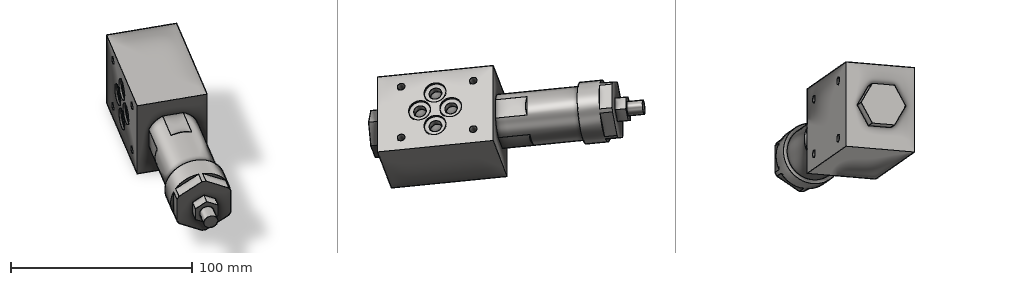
import cadquery as cq
import math


BLOCK_LENGTH = 65.0
BLOCK_DEPTH = 40.0
BLOCK_HEIGHT = 48.0
BLOCK_OFFSET_Y = -0.45
PORT_FACE_Y = BLOCK_OFFSET_Y - BLOCK_DEPTH / 2

BOLT_HOLE_DIAMETER = 4.2
RIGHT_BOLT_X = BLOCK_LENGTH - 11.2
BOLT_SPACING_X = 40.5
RIGHT_BOLT_SPACING_Z = 31.0
LEFT_BOLT_SPACING_Z = 32.5

PORT_DIAMETER = 7.0
PORT_DEPTH = 5.3
SEAL_DIAMETER = 12.2
SEAL_DEPTH = 1.3
NEAR_PORT_X = RIGHT_BOLT_X - 12.7
MIDDLE_PORT_X = RIGHT_BOLT_X - 21.5
FAR_PORT_X = RIGHT_BOLT_X - 30.2
MIDDLE_PORT_Z = 10.4
PORT_CENTRES = [
    (NEAR_PORT_X, 0),
    (FAR_PORT_X, 0),
    (MIDDLE_PORT_X, MIDDLE_PORT_Z),
    (MIDDLE_PORT_X, -MIDDLE_PORT_Z),
]

PLUG_LENGTH = 6.5
PLUG_ACROSS_FLATS = 22.6

BODY_DIAMETER = 30.0
BODY_LENGTH = 46.5
NECK_ACROSS_FLATS = 27.6
NECK_LENGTH = 16.8
NECK_CHAMFER_LENGTH = 1.0
COLLAR_DIAMETER = 34.3
COLLAR_LENGTH = 12.3
CAP_ACROSS_FLATS = 30.8
CAP_LENGTH = 7.0
NUT_ACROSS_FLATS = 13.0
NUT_LENGTH = 6.0
PIN_DIAMETER = 8.0
PIN_LENGTH = 8.7

COLLAR_X = BLOCK_LENGTH + BODY_LENGTH
CAP_X = COLLAR_X + COLLAR_LENGTH
NUT_X = CAP_X + CAP_LENGTH
PIN_X = NUT_X + NUT_LENGTH


def cross_section(x):
    """Plane across the cartridge axis: local x is +Y, local y is +Z, normal is +X."""
    return cq.Workplane("YZ", origin=(x, 0, 0))


def round_bar(x, length, diameter):
    return cross_section(x).circle(diameter / 2).extrude(length)


def hex_bar(x, length, across_flats, corner_up):
    """Hexagonal bar along X with corners on the Z axis, or else on the Y axis."""
    across_corners = across_flats / math.cos(math.pi / 6)
    section = cross_section(x)
    if corner_up:
        section = section.transformed(rotate=(0, 0, 90))
    return section.polygon(6, across_corners).extrude(length)


def port_face_holes(centres, diameter, depth):
    """Cutters entering the port face and running towards +Y."""
    port_face = cq.Workplane("XZ", origin=(0, PORT_FACE_Y, 0))
    return port_face.pushPoints(centres).circle(diameter / 2).extrude(-depth)


def bolt_holes():
    left_bolt_x = RIGHT_BOLT_X - BOLT_SPACING_X
    centres = []
    for side in (1, -1):
        centres.append((RIGHT_BOLT_X, side * RIGHT_BOLT_SPACING_Z / 2))
        centres.append((left_bolt_x, side * LEFT_BOLT_SPACING_Z / 2))
    return port_face_holes(centres, BOLT_HOLE_DIAMETER, BLOCK_DEPTH)


def valve_block():
    block = cq.Workplane("XY").box(BLOCK_LENGTH, BLOCK_DEPTH, BLOCK_HEIGHT)
    block = block.translate((BLOCK_LENGTH / 2, BLOCK_OFFSET_Y, 0))
    block = block.cut(bolt_holes())
    block = block.cut(port_face_holes(PORT_CENTRES, SEAL_DIAMETER, SEAL_DEPTH))
    return block.cut(port_face_holes(PORT_CENTRES, PORT_DIAMETER, PORT_DEPTH))


def cartridge_body():
    """Round body whose neck has four flats, ending at a conical step."""
    step_start = BLOCK_LENGTH + NECK_LENGTH
    step_end = step_start + NECK_CHAMFER_LENGTH
    neck_and_step_length = NECK_LENGTH + NECK_CHAMFER_LENGTH
    neck = cross_section(BLOCK_LENGTH).rect(NECK_ACROSS_FLATS, NECK_ACROSS_FLATS)
    neck = neck.extrude(neck_and_step_length)
    neck = neck.intersect(round_bar(BLOCK_LENGTH, neck_and_step_length, BODY_DIAMETER))
    full_body_profile = (
        cq.Workplane("XY")
        .moveTo(step_start, 0)
        .lineTo(step_start, NECK_ACROSS_FLATS / 2)
        .lineTo(step_end, BODY_DIAMETER / 2)
        .lineTo(COLLAR_X, BODY_DIAMETER / 2)
        .lineTo(COLLAR_X, 0)
        .close()
    )
    full_body = full_body_profile.revolve(360, (0, 0, 0), (1, 0, 0))
    return neck.union(full_body)


def adjuster():
    """Collar, hexagonal cap rounded to the collar diameter, lock nut and pin."""
    collar = round_bar(COLLAR_X, COLLAR_LENGTH, COLLAR_DIAMETER)
    cap = hex_bar(CAP_X, CAP_LENGTH, CAP_ACROSS_FLATS, corner_up=True)
    cap = cap.intersect(round_bar(CAP_X, CAP_LENGTH, COLLAR_DIAMETER))
    nut = hex_bar(NUT_X, NUT_LENGTH, NUT_ACROSS_FLATS, corner_up=True)
    pin = round_bar(PIN_X, PIN_LENGTH, PIN_DIAMETER)
    return collar.union(cap).union(nut).union(pin)


plug = hex_bar(-PLUG_LENGTH, PLUG_LENGTH, PLUG_ACROSS_FLATS, corner_up=False)
result = valve_block().union(plug).union(cartridge_body()).union(adjuster())